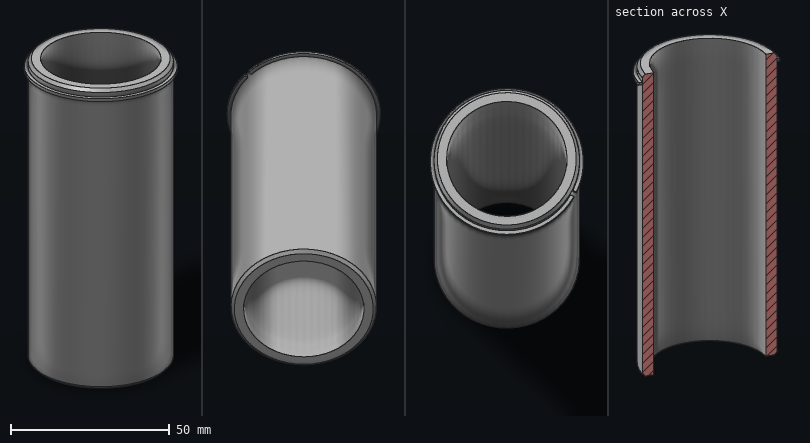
import cadquery as cq

sleeve_length = 105.0
sleeve_diameter = 46.0
bore_diameter = 38.0
edge_chamfer = 1.0

ring_diameter = 48.4
ring_thickness = 1.0
ring_top_depth = 2.6
ring_gap = 1.7


def make_sleeve():
    """Tube with both outer rims chamfered and a plain through bore."""
    body = cq.Workplane("XY").circle(sleeve_diameter / 2).extrude(sleeve_length)
    body = body.faces("<Z or >Z").edges().chamfer(edge_chamfer)
    bore = cq.Workplane("XY").circle(bore_diameter / 2).extrude(sleeve_length)
    return body.cut(bore)


def make_split_ring():
    """Flat ring seated on the sleeve's outer surface, open on its +Y side."""
    ring_bottom = sleeve_length - ring_top_depth - ring_thickness
    ring_plane = cq.Workplane("XY", origin=(0, 0, ring_bottom))
    ring = ring_plane.circle(ring_diameter / 2).circle(sleeve_diameter / 2).extrude(ring_thickness)
    gap = ring_plane.rect(ring_gap, ring_diameter).extrude(ring_thickness)
    return ring.cut(gap.translate((0, ring_diameter / 2, 0)))


sleeve = make_sleeve()
split_ring = make_split_ring()

result = cq.Compound.makeCompound([sleeve.val(), split_ring.val()])